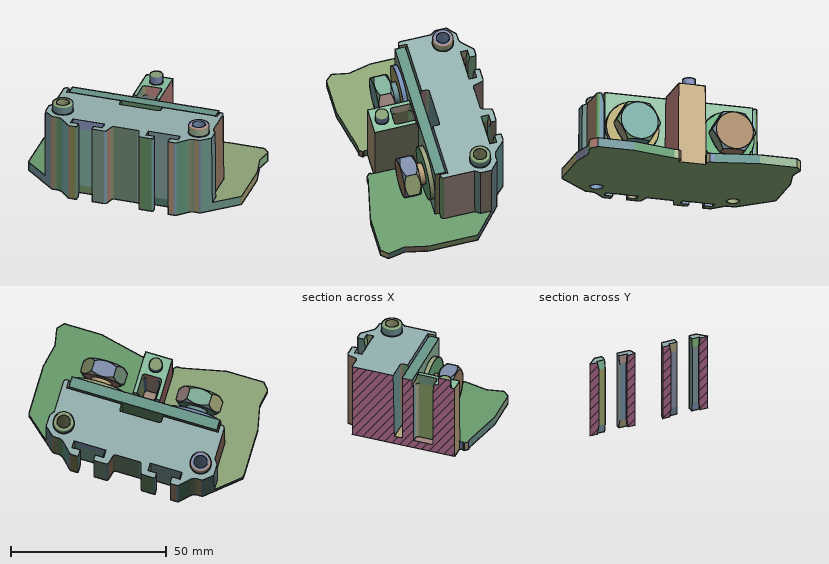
import cadquery as cq
import math


flange_height = 3.0
body_height = 26.9
stud_height = 2.9
lead_in_depth = 3.0
lead_in_start = body_height - lead_in_depth

flange_width = 72.0
flange_back = 45.0
flange_half_width = flange_width / 2
side_low_y = 13.3
side_high_y = 29.7
waist_x = 34.35
waist_y = 37.3
wing_tip_x = 35.4
wing_tip_y = 42.85
wing_top_outer_x = 33.5
wing_top_inner_x = 21.0
notch_rim_outer_x = 6.6
notch_rim_inner_x = 5.2
notch_rim_y = 41.8
notch_lip_high_y = 40.9
notch_lip_low_y = 40.5
notch_wall_y = 40.25
side_low_radius = 1.0
waist_radius = 1.1
wing_tip_radius = 0.9
notch_half_width = 4.5
notch_lip_half_width = 4.25

sill_y = 3.95
sill_inner_x = 4.5
sill_step_x = 22.1
sill_end_x = 25.05
inner_foot_x = 5.55
inner_foot_y = 0.2
outer_foot_x = 18.1
opening_inner_x = 10.3
opening_outer_x = 15.4
inner_lip_y = 2.5
outer_lip_y = 2.7
slot_inner_x = 7.9
slot_outer_x = 17.65
slot_side_flare = 0.5
slot_back_flare = 0.6
inner_foot_radius = 0.9
outer_foot_radius = 1.0
sill_step_radius = 2.9
sill_end_radius = 0.9
lip_radius = 0.35

body_back = 23.05
body_half_width = 27.15
cheek_half_width = 28.3
cheek_top_y = 10.3
cheek_slope_y = 11.95
body_corner_radius = 0.9
draft_inset = 0.2

bar_half_width = 24.8
bar_front = 21.1
bar_back = 24.55
bar_height = 26.65
bar_gap = 0.65
recess_half_width = 6.55
recess_front = 18.5
recess_draft = 0.4
recess_radius = 0.9

tower_half_width = 4.7
tower_back = 39.1
pocket_half_width = 2.7
pocket_front = 25.1
pocket_back = 31.5
pocket_draft = 0.35
pocket_flare = 0.5
pocket_radius = 0.9

pin_y = 35.6
pin_radius = 2.1
pin_tip_radius = 0.2
sleeve_x = 23.0
sleeve_y = 9.1
sleeve_radius = 3.3
sleeve_tip_radius = 0.4
sleeve_hole_radius = 2.1
stud_foot = 0.15

bolt_x = 16.0
bolt_z = (flange_height + bar_height) / 2
washer_radius = 8.8
washer_thickness = 1.5
shank_radius = 3.5
shank_length = 2.2
head_across_flats = 12.75
head_thickness = 5.5
head_chamfer_radial = 1.15
head_chamfer_axial = 1.0


def prism(points, height):
    return cq.Workplane("XY").polyline(points).close().extrude(height)


def box(x_min, x_max, y_min, y_max, z_min, z_max):
    size = (x_max - x_min, y_max - y_min, z_max - z_min)
    return cq.Workplane("XY").box(*size, centered=False).translate((x_min, y_min, z_min))


def loft_polygons(lower, z_lower, upper, z_upper):
    return (
        cq.Workplane("XY", origin=(0, 0, z_lower)).polyline(lower).close()
        .workplane(offset=z_upper - z_lower).polyline(upper).close()
        .loft(ruled=True)
    )


def rectangle(x_min, x_max, y_min, y_max):
    return [(x_min, y_min), (x_max, y_min), (x_max, y_max), (x_min, y_max)]


def mirrored(points):
    return [(-x, y) for x, y in reversed(points)]


def both_sides(solid):
    return solid.union(solid.mirror("YZ"))


def round_corners(solid, corners, height):
    """Round the upright edges at the given (x, y, radius) corners."""
    for x, y, radius in corners:
        nearest = cq.selectors.NearestToPointSelector((x, y, height / 2))
        solid = solid.edges("|Z").edges(nearest).fillet(radius)
    return solid



def half_outline():
    """Right half of the outline, from the front centre round to the notch."""
    return [
        (sill_inner_x, sill_y),
        (inner_foot_x, inner_foot_y),
        (opening_inner_x, inner_foot_y),
        (opening_inner_x, inner_lip_y),
        (slot_inner_x, inner_lip_y),
        (slot_inner_x, sill_y),
        (slot_outer_x, sill_y),
        (slot_outer_x, outer_lip_y),
        (opening_outer_x, outer_lip_y),
        (opening_outer_x, 0),
        (outer_foot_x, 0),
        (sill_step_x, sill_y),
        (sill_end_x, sill_y),
        (flange_half_width, side_low_y),
        (flange_half_width, side_high_y),
        (waist_x, waist_y),
        (wing_tip_x, wing_tip_y),
        (wing_top_outer_x, flange_back),
        (wing_top_inner_x, flange_back),
        (notch_rim_outer_x, notch_rim_y),
        (notch_rim_inner_x, notch_rim_y),
        (notch_lip_half_width, notch_lip_high_y),
        (notch_lip_half_width, notch_lip_low_y),
        (notch_half_width, notch_wall_y),
        (notch_half_width, tower_back),
    ]


def block(height):
    """Flange and feet outline raised to the given height, with its corners rounded."""
    solid = prism(half_outline() + mirrored(half_outline()), height)
    corners = [
        (sill_inner_x, sill_y, inner_foot_radius),
        (inner_foot_x, inner_foot_y, inner_foot_radius),
        (opening_inner_x, inner_foot_y, lip_radius),
        (opening_inner_x, inner_lip_y, lip_radius),
        (opening_outer_x, 0, lip_radius),
        (outer_foot_x, 0, outer_foot_radius),
        (sill_step_x, sill_y, sill_step_radius),
        (sill_end_x, sill_y, sill_end_radius),
        (flange_half_width, side_low_y, side_low_radius),
        (waist_x, waist_y, waist_radius),
        (wing_tip_x, wing_tip_y, wing_tip_radius),
    ]
    return round_corners(solid, corners + [(-x, y, radius) for x, y, radius in corners], height)



def body_section(inset):
    body_x = body_half_width - inset
    cheek_x = cheek_half_width - inset
    right = [
        (cheek_x, 0),
        (cheek_x, cheek_top_y),
        (body_x, cheek_slope_y),
        (body_x, body_back),
    ]
    return right + mirrored(right)


def body():
    """Block above the flange whose sides lean inwards, ending in the rail feet."""
    envelope = loft_polygons(body_section(0), flange_height, body_section(draft_inset), body_height)
    for side in (-1, 1):
        corner = (side * body_half_width, body_back, (flange_height + body_height) / 2)
        corner_edge = cq.selectors.NearestToPointSelector(corner)
        envelope = envelope.edges(corner_edge).fillet(body_corner_radius)
    return block(body_height).intersect(envelope)


def tower():
    lower = rectangle(-tower_half_width, tower_half_width, bar_back, tower_back)
    top_x = tower_half_width - draft_inset
    upper = rectangle(-top_x, top_x, bar_back, tower_back)
    return loft_polygons(lower, flange_height, upper, body_height)



def slot_section(side_flare, back_flare):
    inner_x = slot_inner_x - side_flare
    outer_x = slot_outer_x + side_flare
    middle_x = (opening_inner_x + opening_outer_x) / 2
    inner_y = inner_lip_y - side_flare
    outer_y = outer_lip_y - side_flare
    back_y = sill_y + back_flare
    return [
        (inner_x, inner_y),
        (middle_x, inner_y),
        (middle_x, outer_y),
        (outer_x, outer_y),
        (outer_x, back_y),
        (inner_x, back_y),
    ]


def slot_lead_ins():
    narrow = slot_section(0, 0)
    wide = slot_section(slot_side_flare, slot_back_flare)
    bottom = loft_polygons(wide, 0, narrow, lead_in_depth)
    top = loft_polygons(narrow, lead_in_start, wide, body_height)
    return both_sides(bottom.union(top))


def drafted_pocket(lower, z_lower, upper, z_upper, radius):
    """Rectangular pocket widening upwards, with rounded upright corners."""
    pocket = loft_polygons(rectangle(*lower), z_lower, rectangle(*upper), z_upper)
    return pocket.edges("not(#Z)").fillet(radius)


def recess():
    lower = (-recess_half_width, recess_half_width, recess_front, bar_back)
    top_x = recess_half_width + recess_draft
    upper = (-top_x, top_x, recess_front - recess_draft, bar_back)
    return drafted_pocket(lower, flange_height, upper, body_height, recess_radius)


def tower_pocket():
    floor_x = pocket_half_width - pocket_draft
    floor = (-floor_x, floor_x, pocket_front, pocket_back)
    throat = (-pocket_half_width, pocket_half_width, pocket_front, pocket_back)
    mouth_x = pocket_half_width + pocket_flare
    mouth = (-mouth_x, mouth_x, bar_back, pocket_back + pocket_flare)
    shaft = drafted_pocket(floor, flange_height, throat, lead_in_start, pocket_radius)
    return shaft.union(drafted_pocket(throat, lead_in_start, mouth, body_height, pocket_radius))


def bar_lead_in():
    narrow = rectangle(-bar_half_width, bar_half_width, bar_front, bar_back)
    wide_x = bar_half_width + bar_gap
    wide = rectangle(-wide_x, wide_x, bar_front - bar_gap, bar_back + bar_gap)
    return loft_polygons(narrow, lead_in_start, wide, body_height)



def stud(x, y, radius, tip_radius):
    """Round stud on the top face with a rounded tip and a flared foot."""
    shaft = cq.Workplane("XY").circle(radius).extrude(stud_height)
    shaft = shaft.faces(">Z").edges().fillet(tip_radius)
    foot = cq.Workplane(cq.Solid.makeCone(radius + stud_foot, radius, stud_foot))
    return shaft.union(foot).translate((x, y, body_height))


def sleeve_hole(x):
    hole = cq.Workplane("XY").circle(sleeve_hole_radius).extrude(body_height + stud_height)
    return hole.translate((x, sleeve_y, 0))


def bolt(x):
    """Washer, shank and hexagon head standing on the back of the bar."""
    head_start = washer_thickness + shank_length
    head_end = head_start + head_thickness
    corner_radius = head_across_flats / math.sqrt(3)
    end_radius = corner_radius - head_chamfer_radial
    washer = cq.Workplane("XY").circle(washer_radius).extrude(washer_thickness)
    shank = cq.Workplane("XY").circle(shank_radius).extrude(head_start)
    head = (
        cq.Workplane("XY", origin=(0, 0, head_start))
        .polygon(6, 2 * corner_radius).extrude(head_thickness)
    )
    turned_profile = [
        (0, head_start),
        (end_radius, head_start),
        (corner_radius, head_start + head_chamfer_axial),
        (corner_radius, head_end - head_chamfer_axial),
        (end_radius, head_end),
        (0, head_end),
    ]
    turned = cq.Workplane("XZ").polyline(turned_profile).close().revolve(360, (0, 0), (0, 1))
    solid = washer.union(shank).union(head.intersect(turned))
    return solid.rotate((0, 0, 0), (1, 0, 0), -90).translate((x, bar_back, bolt_z))



bar = box(-bar_half_width, bar_half_width, bar_front, bar_back, flange_height, bar_height)
bar_seat = box(-bar_half_width, bar_half_width, bar_front, bar_back, flange_height, body_height)

result = block(flange_height).union(body()).union(tower())
for opening in (slot_lead_ins(), bar_seat, bar_lead_in(), recess(), tower_pocket()):
    result = result.cut(opening)

result = result.union(bar).union(stud(0, pin_y, pin_radius, pin_tip_radius))
for side in (-1, 1):
    result = result.union(stud(side * sleeve_x, sleeve_y, sleeve_radius, sleeve_tip_radius))
    result = result.cut(sleeve_hole(side * sleeve_x))
    result = result.union(bolt(side * bolt_x))